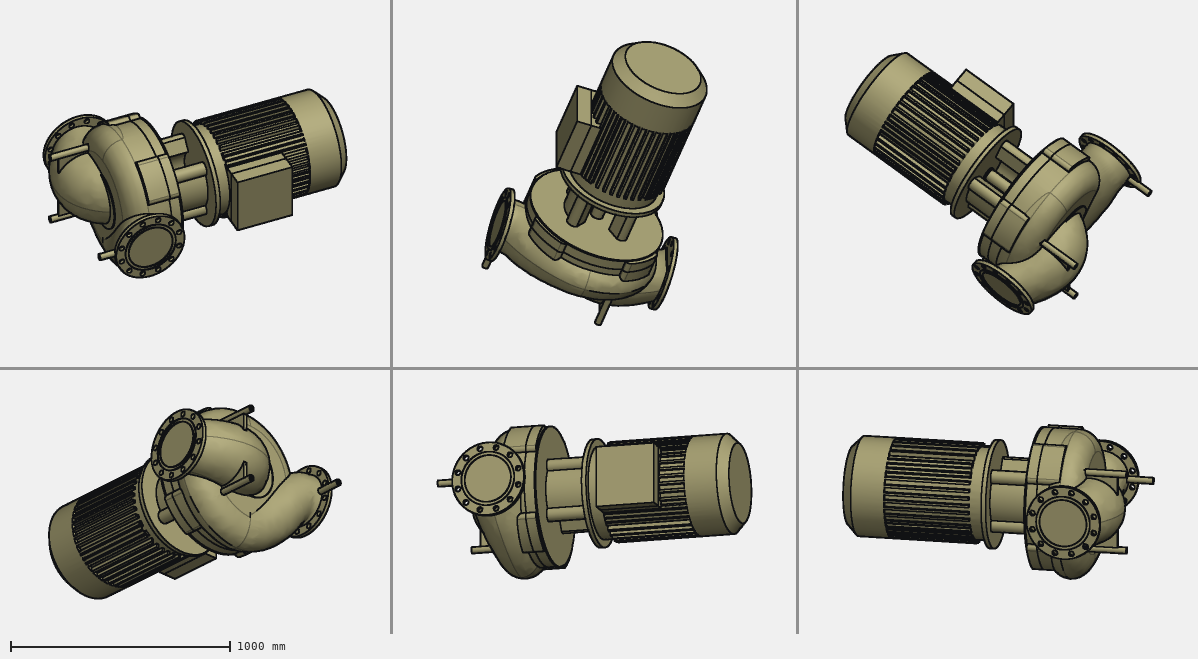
import cadquery as cq
import math


MOTOR_REAR = 1081.0
MOTOR_CHAMFER = 46.0
SHROUD_FRONT = 880.0
FIN_FRONT = 484.0
MOTOR_FLANGE_REAR = 420.0
MOTOR_FACE = 399.0
SHROUD_RADIUS = 230.0
MOTOR_BODY_RADIUS = 213.0
MOTOR_FLANGE_RADIUS = 249.0
OUTERMOST_FIN_OFFSET = 171.0
FINS_EACH_SIDE = 5
FIN_PITCH = OUTERMOST_FIN_OFFSET / FINS_EACH_SIDE
FIN_THICKNESS = 10.0

BOX_HEIGHT = 281.0
BOX_REAR = 758.0
BOX_OUTER_X = 300.0
BOX_BASE_INNER_X = 178.0
BOX_Y_LIMITS = (FIN_FRONT, BOX_REAR)
BOX_Z_LIMITS = (-BOX_HEIGHT / 2, BOX_HEIGHT / 2)

LANTERN_REAR_PLATE = 203.0
PLATE_THICKNESS = 7.0
CASING_JOINT = 147.0
PLATE_RADIUS = 322.0
LANTERN_OUTER_RADIUS = 159.0
LANTERN_INNER_RADIUS = 103.0
WINDOW_HALF_ANGLE = 34.7
POST_RADIUS = 32.0
POST_OFFSET = 114.0

SHAFT_RADIUS = 29.0
COLLAR_RADIUS = 33.0
COLLAR_LENGTH = 8.0

CASING_RADIUS = 321.0
CASING_FACE = -57.0
SCROLL_Y = 38.0
SCROLL_DEPTH = SCROLL_Y - CASING_FACE
FACE_RADIUS = 225.0
SCROLL_END_FACE_RADIUS = 249.0
SCROLL_END_RADIUS = 370.0
SCROLL_END_WIDTH = SCROLL_END_RADIUS - SCROLL_END_FACE_RADIUS
SCROLL_INNER_RADIUS = 159.0
SCROLL_SECTIONS = 7
SUCTION_BOSS_RADIUS = 139.0
SUCTION_BOSS_FACE = -62.0

PAD_OUTER_RADIUS = 340.0
PAD_WIDTH = 204.0
PAD_FILLET = 21.0
PAD_FRONT = 41.0
PAD_INNER_DISTANCE = 199.0
PAD_COUNT = 4
FIRST_PAD_ANGLE = 45

FACE_TO_FACE = 820.0
FLANGE_RADIUS = 171.0
FLANGE_THICKNESS = 20.0
RAISED_FACE_HEIGHT = 4.0
RAISED_FACE_RADIUS = 126.0
RAISED_FACE_INNER_RADIUS = 110.0
BOLT_CIRCLE_RADIUS = 148.0
BOLT_HOLE_RADIUS = 12.0
BOLT_COUNT = 12
FLANGE_OUTER_X = FACE_TO_FACE / 2 - RAISED_FACE_HEIGHT
FLANGE_INNER_X = FLANGE_OUTER_X - FLANGE_THICKNESS

PIN_DIAMETER = 30.0
PIN_RADIUS = PIN_DIAMETER / 2
PIN_HOLE_RADIUS = 7.0
PIN_HOLE_DEPTH = 27.0
PIN_END = -244.0
SUCTION_PIN_X = -170.0
SUCTION_PIN_Z = 180.0
SUCTION_PIN_START = -46.0
DISCHARGE_PIN_X = 379.0
DISCHARGE_PIN_START = -106.0
RIB_THICKNESS = 16.0
RIB_FRONT = -203.0

SUCTION_SECTIONS = [
    ((-424.0, 16.0, 0), (0.86, -0.5, 0), (109.0, 127.0)),
    ((-325.0, -40.0, 0), (0.84, -0.54, 0), (117.0, 134.0)),
    ((-239.0, -66.0, 0), (0.92, -0.4, 0), (139.0, 147.0)),
    ((-148.0, -73.0, 0), (1, 0, 0), (154.0, 156.0)),
    ((-65.0, -42.0, 0), (0.86, 0.5, 0), (150.0, 152.0)),
    ((-25.0, 13.0, 0), (0.5, 0.86, 0), (145.0, 145.0)),
]
DISCHARGE_SECTIONS = [
    ((0, SCROLL_Y, -SCROLL_END_FACE_RADIUS), (1, 0, 0), (SCROLL_END_WIDTH, SCROLL_DEPTH)),
    ((72.0, 36.0, -232.0), (0.95, 0, 0.3), (122.0, 102.0)),
    ((136.0, 32.0, -199.0), (0.83, 0, 0.56), (122.0, 111.0)),
    ((224.0, 20.0, -122.0), (0.68, 0, 0.73), (122.0, 122.0)),
    ((290.0, 10.0, -42.0), (0.8, 0, 0.6), (120.0, 125.0)),
    ((FLANGE_INNER_X, 0, 0), (1, 0, 0), (127.0, 127.0)),
]


def disc(radius, rear, front, x=0, z=0):
    """Cylinder along Y between two Y positions."""
    return cq.Workplane("XZ", origin=(x, rear, z)).circle(radius).extrude(rear - front)


def block(x_range, y_range, z_range):
    """Axis-aligned block between the given limits."""
    sizes = [abs(end - start) for start, end in (x_range, y_range, z_range)]
    corner = [min(limits) for limits in (x_range, y_range, z_range)]
    return cq.Workplane("XY", origin=corner).box(*sizes, centered=False)


def pads(rear, front):
    """Rounded pads spread evenly around the rim."""
    pad = block((PAD_INNER_DISTANCE, PAD_OUTER_RADIUS), (front, rear), (-PAD_WIDTH / 2, PAD_WIDTH / 2))
    pad = pad.intersect(disc(PAD_OUTER_RADIUS, rear, front))
    pad = pad.edges("|Y").edges(">Z or <Z").edges(">X").fillet(PAD_FILLET)
    group = cq.Workplane("XY")
    for number in range(PAD_COUNT):
        angle = FIRST_PAD_ANGLE + number * 360 / PAD_COUNT
        group = group.add(pad.rotate((0, 0, 0), (0, 1, 0), angle))
    return group.combine()


def make_motor():
    shroud = disc(SHROUD_RADIUS, MOTOR_REAR, SHROUD_FRONT).faces(">Y").chamfer(MOTOR_CHAMFER)
    body = disc(MOTOR_BODY_RADIUS, SHROUD_FRONT, MOTOR_FLANGE_REAR)
    flange = disc(MOTOR_FLANGE_RADIUS, MOTOR_FLANGE_REAR, MOTOR_FACE)
    fin_length = (FIN_FRONT, SHROUD_FRONT)
    span = (-SHROUD_RADIUS, SHROUD_RADIUS)
    plates = disc(MOTOR_BODY_RADIUS, SHROUD_FRONT, FIN_FRONT)
    for step in range(-FINS_EACH_SIDE, FINS_EACH_SIDE + 1):
        middle = step * FIN_PITCH
        across = (middle - FIN_THICKNESS / 2, middle + FIN_THICKNESS / 2)
        plates = plates.union(block(across, fin_length, span)).union(block(span, fin_length, across))
    fins = plates.intersect(disc(SHROUD_RADIUS, SHROUD_FRONT, FIN_FRONT))
    box_base = block((BOX_BASE_INNER_X, SHROUD_RADIUS), BOX_Y_LIMITS, BOX_Z_LIMITS)
    return body.union(fins).union(shroud).union(flange).union(box_base)


def make_terminal_box():
    return block((SHROUD_RADIUS, BOX_OUTER_X), BOX_Y_LIMITS, BOX_Z_LIMITS)


def make_shaft():
    collar = disc(COLLAR_RADIUS, MOTOR_FACE, MOTOR_FACE - COLLAR_LENGTH)
    return disc(SHAFT_RADIUS, MOTOR_FACE, LANTERN_REAR_PLATE).union(collar)


def make_lantern():
    lantern = disc(LANTERN_OUTER_RADIUS, MOTOR_FACE, LANTERN_REAR_PLATE)
    lantern = lantern.cut(disc(LANTERN_INNER_RADIUS, MOTOR_FACE, LANTERN_REAR_PLATE))
    reach = 2 * LANTERN_OUTER_RADIUS
    half_width = reach * math.tan(math.radians(WINDOW_HALF_ANGLE))
    windows = (
        cq.Workplane("XZ", origin=(0, MOTOR_FACE, 0))
        .polyline([(0, 0), (half_width, reach), (-half_width, reach)])
        .close()
        .polyline([(0, 0), (half_width, -reach), (-half_width, -reach)])
        .close()
        .extrude(MOTOR_FACE - LANTERN_REAR_PLATE)
    )
    for x in (-POST_OFFSET, POST_OFFSET):
        for z in (-POST_OFFSET, POST_OFFSET):
            lantern = lantern.union(disc(POST_RADIUS, MOTOR_FACE, LANTERN_REAR_PLATE, x, z))
    lantern = lantern.cut(windows)
    plate_front = LANTERN_REAR_PLATE - PLATE_THICKNESS
    plate = disc(PLATE_RADIUS, LANTERN_REAR_PLATE, plate_front)
    cover = disc(CASING_RADIUS, plate_front, CASING_JOINT).union(pads(plate_front, CASING_JOINT))
    return lantern.union(plate).union(cover)


def rim_outline(angle, inner_radius, face_radius, outer_radius, straight_rear):
    """Outline through the casing axis: a flat face at the front that rounds over to the outer radius.

    A straight rear runs back to the casing joint; otherwise the rim also rounds over to the rear.
    """
    direction = (math.cos(angle), 0, math.sin(angle))
    plane = cq.Plane(origin=(0, 0, 0), xDir=direction, normal=cq.Vector(*direction).cross(cq.Vector(0, 1, 0)))
    outline = cq.Workplane(plane)
    rim_width = outer_radius - face_radius
    if straight_rear:
        outline = outline.moveTo(inner_radius, CASING_JOINT).lineTo(outer_radius, CASING_JOINT)
        outline = outline.lineTo(outer_radius, SCROLL_Y)
    else:
        scroll_rear = SCROLL_Y + SCROLL_DEPTH
        outline = outline.moveTo(inner_radius, scroll_rear).lineTo(face_radius, scroll_rear)
        outline = outline.ellipseArc(rim_width, SCROLL_DEPTH, 0, 90, startAtCurrent=True, sense=-1)
    outline = outline.ellipseArc(rim_width, SCROLL_DEPTH, 270, 360, startAtCurrent=True, sense=-1)
    return outline.lineTo(inner_radius, CASING_FACE).close()


def make_rounded_drum():
    outline = rim_outline(0, 0, FACE_RADIUS, CASING_RADIUS, straight_rear=True)
    return outline.revolve(360, (0, 0, 0), (0, 1, 0))


def scroll_section(fraction):
    """Section of the growing scroll, from the top (0) through -X to the bottom (1)."""
    face_radius = FACE_RADIUS + fraction * (SCROLL_END_FACE_RADIUS - FACE_RADIUS)
    outer_radius = CASING_RADIUS + fraction * (SCROLL_END_RADIUS - CASING_RADIUS)
    angle = math.pi * (0.5 + fraction)
    return rim_outline(angle, SCROLL_INNER_RADIUS, face_radius, outer_radius, straight_rear=False).val()


def pipe(sections, bend_axis):
    """Smooth pipe through elliptic sections whose centres lie in the plane normal to the bend axis."""
    wires = []
    for centre, direction, radii in sections:
        across = bend_axis.cross(cq.Vector(*direction))
        plane = cq.Plane(origin=centre, xDir=across, normal=direction)
        wires.append(cq.Workplane(plane).ellipse(*radii).val())
    return cq.Workplane(obj=cq.Solid.makeLoft(wires))


def make_casing():
    scroll_wires = [scroll_section(i / (SCROLL_SECTIONS - 1)) for i in range(SCROLL_SECTIONS)]
    scroll = cq.Workplane(obj=cq.Solid.makeLoft(scroll_wires))
    discharge = pipe(DISCHARGE_SECTIONS, cq.Vector(0, 1, 0))
    suction = pipe(SUCTION_SECTIONS, cq.Vector(0, 0, -1))
    wide = (-FACE_TO_FACE, FACE_TO_FACE)
    beyond_flange = block((-FACE_TO_FACE, -FLANGE_INNER_X), wide, wide)
    suction = suction.cut(beyond_flange)
    boss = disc(SUCTION_BOSS_RADIUS, SCROLL_Y, SUCTION_BOSS_FACE)
    rib = block((SUCTION_PIN_X - RIB_THICKNESS / 2, SUCTION_PIN_X + RIB_THICKNESS / 2),
                (RIB_FRONT, SCROLL_Y), (-SUCTION_PIN_Z, SUCTION_PIN_Z))
    casing = make_rounded_drum()
    for piece in (scroll, discharge, suction, boss, rib, pads(CASING_JOINT, PAD_FRONT)):
        casing = casing.union(piece)
    return casing


def make_flange(side):
    """Pipe flange with a raised sealing ring: side is -1 for suction, 1 for discharge."""
    plane = cq.Plane(origin=(side * FLANGE_INNER_X, 0, 0), xDir=(0, 1, 0), normal=(side, 0, 0))
    flange = cq.Workplane(plane).circle(FLANGE_RADIUS).extrude(FLANGE_THICKNESS)
    ring = (
        cq.Workplane(plane)
        .workplane(offset=FLANGE_THICKNESS)
        .circle(RAISED_FACE_RADIUS)
        .circle(RAISED_FACE_INNER_RADIUS)
        .extrude(RAISED_FACE_HEIGHT)
    )
    holes = (
        cq.Workplane(plane)
        .polarArray(BOLT_CIRCLE_RADIUS, 180 / BOLT_COUNT, 360, BOLT_COUNT)
        .circle(BOLT_HOLE_RADIUS)
        .extrude(FLANGE_THICKNESS)
    )
    return flange.union(ring).cut(holes)


def make_pin(x, z, start, bored=True):
    pin = disc(PIN_RADIUS, start, PIN_END, x, z)
    if not bored:
        return pin
    return pin.cut(disc(PIN_HOLE_RADIUS, PIN_END + PIN_HOLE_DEPTH, PIN_END, x, z))


motor = make_motor()
terminal_box = make_terminal_box()
shaft = make_shaft()
lantern = make_lantern()
casing = make_casing()
flanges = [make_flange(side) for side in (-1, 1)]
pin_places = [
    (SUCTION_PIN_X, -SUCTION_PIN_Z, SUCTION_PIN_START),
    (SUCTION_PIN_X, SUCTION_PIN_Z, SUCTION_PIN_START),
    (DISCHARGE_PIN_X, 0, DISCHARGE_PIN_START),
]
pins = [make_pin(*place) for place in pin_places]

for place in pin_places:
    socket = make_pin(*place, bored=False)
    casing = casing.cut(socket)
    flanges = [flange.cut(socket) for flange in flanges]

bodies = [motor, terminal_box, shaft, lantern, casing, *flanges, *pins]
result = cq.Compound.makeCompound([body.val() for body in bodies])